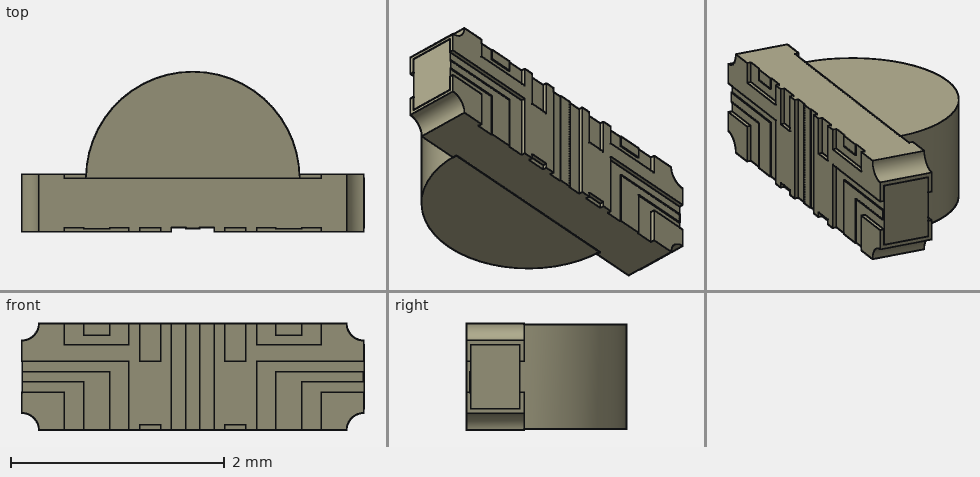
import cadquery as cq


board_length = 3.2
board_height = 1.0
board_back_y = 0.0
plating = 0.04
core_thickness = 0.46
core_shift = 0.004
corner_radius = 0.16

lens_radius = 1.0
lens_height = 0.98

pad_split_z = 0.145
corner_pad_x = 1.2
terminal_outer_x = 0.6
terminal_inner_x = 0.2

top_window_z = 0.3
slot_outer_x = 0.495
slot_inner_x = 0.3
slot_bottom_height = 0.05

mask_thickness = 0.01
mask_center_half_width = 0.065
mask_outer_x = 1.02
mask_inner_x = 0.775
mask_band_half_height = pad_split_z / 3
mask_patch_height = 0.11

half_length = board_length / 2
half_height = board_height / 2
core_back_y = board_back_y - plating
core_front_y = core_back_y - core_thickness
board_front_y = core_front_y - plating
core_corner_radius = corner_radius + plating
sides = (-1, 1)


def block(x_range, y_range, z_range):
    """Box between pairs of limits; each pair may be in either order."""
    limits = [sorted(pair) for pair in (x_range, y_range, z_range)]
    sizes = [high - low for low, high in limits]
    corner = cq.Vector(*[low for low, high in limits])
    return cq.Workplane(cq.Solid.makeBox(*sizes, corner))


def corner_cylinders(radius, y_range):
    """Rods along Y, one centred on each corner of the board."""
    y_low, y_high = y_range
    corners = [(side * half_length, level * half_height) for side in sides for level in sides]
    plane = cq.Workplane("XZ", origin=(0, y_high, 0))
    return plane.pushPoints(corners).circle(radius).extrude(y_high - y_low)


def make_core():
    y_range = (core_front_y, core_back_y)
    x_range = (core_shift - half_length, core_shift + half_length)
    core = block(x_range, y_range, (-half_height, half_height))
    return core.cut(corner_cylinders(core_corner_radius, y_range))


def make_corner_plating():
    y_range = (core_front_y, core_back_y)
    outline = block((-half_length, half_length), y_range, (-half_height, half_height))
    return outline.intersect(corner_cylinders(core_corner_radius, y_range))


def front_pads(side):
    """Terminal pad with its openings, and the separate pad in the lower corner."""
    y_range = (board_front_y, core_front_y)
    pads = block((side * terminal_inner_x, side * half_length), y_range, (-half_height, half_height))
    bare_corner = block((side * terminal_outer_x, side * half_length), y_range, (-half_height, pad_split_z))
    corner_pad = block((side * corner_pad_x, side * half_length), y_range, (-half_height, -pad_split_z))
    window = block((side * terminal_outer_x, side * corner_pad_x), y_range, (top_window_z, half_height))
    slot_x = (side * slot_inner_x, side * slot_outer_x)
    slot = block(slot_x, y_range, (pad_split_z, half_height))
    bottom_slot = block(slot_x, y_range, (-half_height, -half_height + slot_bottom_height))
    return pads.cut(bare_corner).union(corner_pad).cut(window).cut(slot).cut(bottom_slot)


def back_pads(side):
    """Upper corner pad, and a lower pad that runs in to the side of the lens."""
    y_range = (core_back_y, board_back_y)
    upper = block((side * corner_pad_x, side * half_length), y_range, (pad_split_z, half_height))
    lower = block((side * lens_radius, side * half_length), y_range, (-half_height, -pad_split_z))
    return upper.union(lower)


def make_plating():
    plating_body = make_corner_plating()
    for side in sides:
        plating_body = plating_body.union(front_pads(side)).union(back_pads(side))
    return plating_body.cut(corner_cylinders(corner_radius, (board_front_y, board_back_y)))


def side_mask(side):
    """Angled mask strip beside the terminal, with a small patch above it."""
    y_range = (core_front_y - mask_thickness, core_front_y)
    strip_x = (side * mask_inner_x, side * mask_outer_x)
    band_x = (side * mask_inner_x, side * (half_length - core_shift))
    leg = block(strip_x, y_range, (-half_height, mask_band_half_height))
    band = block(band_x, y_range, (-mask_band_half_height, mask_band_half_height))
    patch = block(strip_x, y_range, (half_height - mask_patch_height, half_height))
    return leg.union(band).union(patch)


def center_mask():
    x_range = (-mask_center_half_width, mask_center_half_width)
    y_range = (core_front_y - mask_thickness, core_front_y)
    return block(x_range, y_range, (-half_height, half_height))


def make_lens():
    base = cq.Workplane("XY", origin=(0, core_back_y, -lens_height / 2))
    half_disc = base.moveTo(-lens_radius, 0).threePointArc((0, lens_radius), (lens_radius, 0)).close()
    return half_disc.extrude(lens_height)


result = make_core()
for part in (make_plating(), side_mask(-1), center_mask(), side_mask(1), make_lens()):
    result = result.union(part, clean=False)